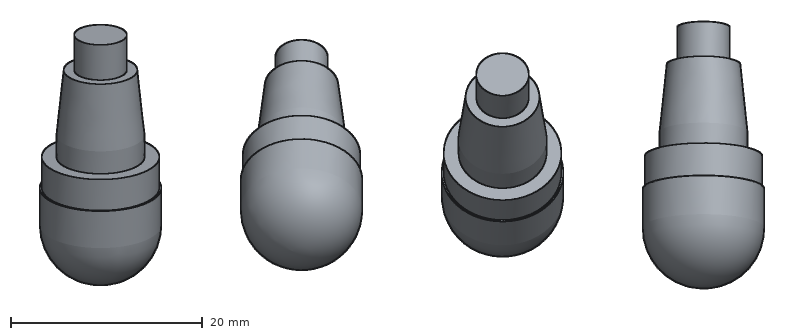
import cadquery as cq

CAP_DIAMETER = 12.7
CAP_TOP = 10.5
COLLAR_TOP = 14.0
NECK_TOP = 16.55
TAPER_TOP = 23.82
STEM_TOP = 27.8

COLLAR_DIAMETER = 12.3
NECK_DIAMETER = 9.2
TAPER_TOP_DIAMETER = 7.7
STEM_DIAMETER = 5.5


def disc(diameter, bottom, top):
    """Upright cylinder on the Z axis between two levels."""
    return cq.Workplane("XY").workplane(offset=bottom).circle(diameter / 2).extrude(top - bottom)


def make_cap():
    """Solid cap: a cylinder with a hemispherical lower end."""
    radius = CAP_DIAMETER / 2
    dome = cq.Workplane("XY").sphere(radius).translate((0, 0, radius))
    return dome.intersect(disc(CAP_DIAMETER, 0, radius)).union(disc(CAP_DIAMETER, radius, CAP_TOP))


def make_shank():
    """Stepped shank standing on the cap: collar, neck, taper and stem."""
    collar = disc(COLLAR_DIAMETER, CAP_TOP, COLLAR_TOP)
    neck = disc(NECK_DIAMETER, COLLAR_TOP, NECK_TOP)
    taper = (
        cq.Workplane("XY")
        .workplane(offset=NECK_TOP)
        .circle(NECK_DIAMETER / 2)
        .workplane(offset=TAPER_TOP - NECK_TOP)
        .circle(TAPER_TOP_DIAMETER / 2)
        .loft(ruled=True)
    )
    stem = disc(STEM_DIAMETER, TAPER_TOP, STEM_TOP)
    return collar.union(neck).union(taper).union(stem)


cap = make_cap()
shank = make_shank()

result = cq.Compound.makeCompound([cap.val(), shank.val()])